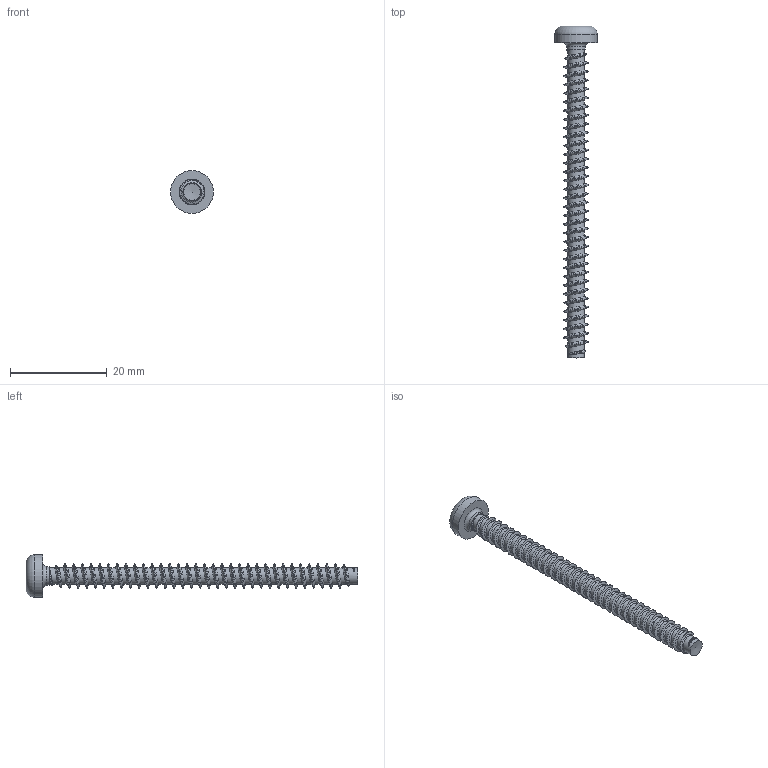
import cadquery as cq
import math


head_diameter = 8.8
head_height = 3.49
head_rim_radius = 1.75

shank_length = 65.0
neck_diameter = 3.9
neck_fillet_radius = 0.7
neck_length = 1.3
core_diameter = 3.5
tip_hollow_depth = 0.2

thread_diameter = 5.0
pitch = 1.8
knee_diameter = 4.0
foot_width = 1.0
foot_overlap = 0.05
knee_width = 0.4
crest_width = 0.08
fade_in_turns = 1.9
fade_out_turns = 1.5
full_turns = 32.0
thread_start_y = -64.35
thread_start_angle = 190.0

core_radius = core_diameter / 2


def make_body():
    """Head, neck fillet, neck, core and tip with a shallow conical hollow, turned about Y."""
    head_radius = head_diameter / 2
    neck_radius = neck_diameter / 2
    rim_start_y = head_height - head_rim_radius
    arc_mid = 1 - math.sqrt(0.5)
    return (
        cq.Workplane("XY")
        .moveTo(0, -shank_length + tip_hollow_depth)
        .lineTo(core_radius, -shank_length)
        .lineTo(core_radius, -neck_length)
        .lineTo(neck_radius, -neck_length)
        .lineTo(neck_radius, -neck_fillet_radius)
        .threePointArc(
            (neck_radius + neck_fillet_radius * arc_mid, -neck_fillet_radius * arc_mid),
            (neck_radius + neck_fillet_radius, 0),
        )
        .lineTo(head_radius, 0)
        .lineTo(head_radius, rim_start_y)
        .threePointArc(
            (head_radius - head_rim_radius * arc_mid, head_height - head_rim_radius * arc_mid),
            (head_radius - head_rim_radius, head_height),
        )
        .lineTo(0, head_height)
        .close()
        .revolve(360, (0, 0), (0, 1))
    )


def blade_section():
    """Corners of the blade as (radius, axial offset), its foot just below the core surface."""
    knee_radius = knee_diameter / 2
    crest_radius = thread_diameter / 2
    lower = [
        (core_radius - foot_overlap, -foot_width / 2),
        (knee_radius, -knee_width / 2),
        (crest_radius, -crest_width / 2),
    ]
    upper = [(radius, -offset) for radius, offset in reversed(lower)]
    return lower + upper


def axial_helix(turns, radius, cone_angle):
    """Helix about Z; its radius grows by the cone angle in radians, or stays for a zero angle."""
    if cone_angle == 0:
        return cq.Wire.makeHelix(pitch, turns * pitch, radius)
    slant_pitch = pitch / math.cos(cone_angle)
    return cq.Wire.makeHelix(slant_pitch, turns * slant_pitch, radius, angle=math.degrees(cone_angle))


def faded_radius(radius):
    """Radius of a blade corner where the thread has faded away, just inside the core."""
    return min(radius, core_radius - foot_overlap / 2)


def thread_piece(first_turn, turns, faded_start=False, faded_end=False):
    """Blade along Z for some turns; at a faded end it has shrunk into the core."""
    height = turns * pitch
    helices = []
    for radius, offset in blade_section():
        start_radius = faded_radius(radius) if faded_start else radius
        end_radius = faded_radius(radius) if faded_end else radius
        cone_angle = math.atan2(end_radius - start_radius, height)
        helix = axial_helix(turns, start_radius, cone_angle)
        helix = helix.rotate(cq.Vector(0, 0, 0), cq.Vector(0, 0, 1), 360 * first_turn)
        helices.append(helix.translate(cq.Vector(0, 0, first_turn * pitch + offset)).Edges()[0])
    neighbours = helices[1:] + helices[:1]
    faces = [cq.Face.makeRuledSurface(a, b) for a, b in zip(helices, neighbours)]
    for position in (0, 1):
        corners = [helix.positionAt(position) for helix in helices]
        faces.append(cq.Face.makeFromWires(cq.Wire.makePolygon(corners, close=True)))
    return cq.Solid.makeSolid(cq.Shell.makeShell(faces))


def make_thread():
    """Right-handed blade that rises at the tip, runs full, and fades below the neck."""
    pieces = [
        thread_piece(0, fade_out_turns, faded_start=True),
        thread_piece(fade_out_turns, full_turns),
        thread_piece(fade_out_turns + full_turns, fade_in_turns, faded_end=True),
    ]
    return [
        cq.Workplane(piece)
        .rotate((0, 0, 0), (0, 0, 1), thread_start_angle)
        .rotate((0, 0, 0), (1, 0, 0), -90)
        .translate((0, thread_start_y, 0))
        for piece in pieces
    ]


result = make_body()
for piece in make_thread():
    result = result.union(piece)